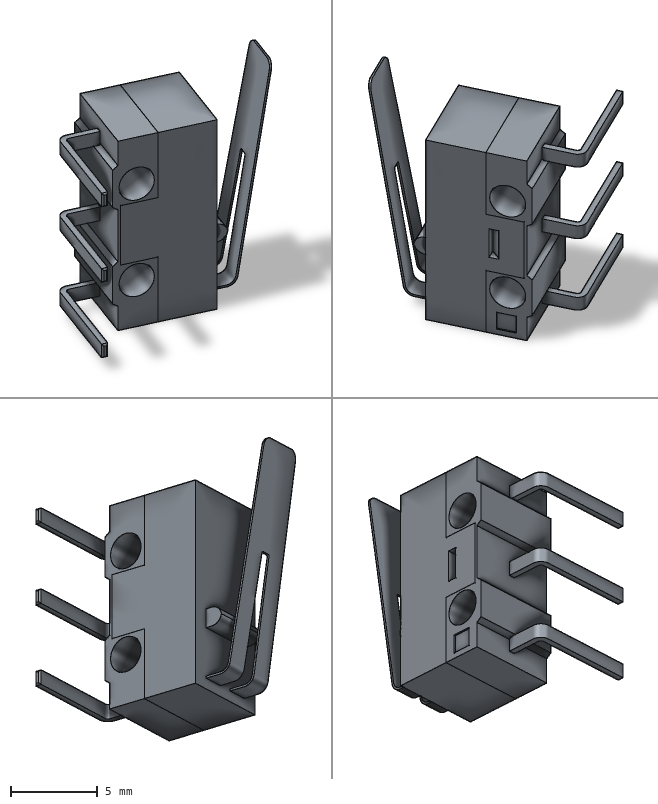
import cadquery as cq
import math


HOUSING_WIDTH = 5.72
HOUSING_DEPTH = 6.2
HOUSING_HEIGHT = 12.81
HALF_WIDTH = HOUSING_WIDTH / 2
MID_HEIGHT = HOUSING_HEIGHT / 2
SPLIT_Y = 2.51

TONGUE_HEIGHT = 4.02
TONGUE_END_Y = 0.17

HOLE_DIAMETER = 2.2
HOLE_Y = 1.17
HOLE_SPACING = 6.52
HOLE_HEIGHTS = [MID_HEIGHT - HOLE_SPACING / 2, MID_HEIGHT + HOLE_SPACING / 2]
PAD_RISE = 0.33
PAD_FOOT_HEIGHT = 3.01
PAD_TOP_HEIGHT = 2.51

LATCH_Y_MIN = 1.73
LATCH_Y_MAX = 2.3
LATCH_HEIGHT = 2.03
LATCH_SHALLOW_DEPTH = 0.08
LATCH_DEEP_DEPTH = LATCH_SHALLOW_DEPTH + LATCH_Y_MAX - LATCH_Y_MIN

MARK_SIZE = 1.2
MARK_DEPTH = 0.1
MARK_Y = 1.26
MARK_Z = 0.98

PIN_COUNT = 3
PIN_PITCH = 5.1
PIN_THICKNESS = 0.39
PIN_HEIGHT = 0.92
PIN_REACH_Y = 2.56
PIN_END_X = 6.64
PIN_OUTER_RADIUS = 0.6
PIN_INNER_RADIUS = PIN_OUTER_RADIUS - PIN_THICKNESS
PIN_TIP_CHAMFER = 0.1

BUTTON_WIDTH = 3.64
BUTTON_HEIGHT = 1.19
BUTTON_REACH = 1.1
BUTTON_SHOULDER = 0.4
BUTTON_Z = 4.45

LEVER_THICKNESS = 0.14
LEVER_TILT = math.radians(9.5)
LEVER_FOOT_Z = 0.68
LEVER_OUTER_RADIUS = 0.72
LEVER_INNER_RADIUS = LEVER_OUTER_RADIUS - LEVER_THICKNESS
LEVER_TIP_Y = 10.23
LEVER_TOP_Z = 15.05
LEVER_WIDTH = BUTTON_WIDTH
LEVER_TIP_WIDTH = 3.01
LEVER_TIP_RADIUS = 0.6
LEVER_TAPER_Z = 1.2
WINDOW_TOP_Z = 8.43
WINDOW_WIDTH = 0.96
WINDOW_TOP_WIDTH = 0.66
WINDOW_RADIUS = 0.1


def box(x_range, y_range, z_range):
    """Axis-aligned block given by its limits along each axis."""
    sizes = [high - low for low, high in (x_range, y_range, z_range)]
    corner = (x_range[0], y_range[0], z_range[0])
    return cq.Workplane("XY").box(*sizes, centered=False).translate(corner)


def around(middle, size):
    """Limits of a length centred on a place."""
    return (middle - size / 2, middle + size / 2)


def across_x(points, width):
    """Outline of (y, z) points extruded across X, centred on X = 0."""
    return cq.Workplane("YZ").polyline(points).close().extrude(width / 2, both=True)


def tongue_block():
    return box(
        around(0, HOUSING_WIDTH),
        (TONGUE_END_Y, SPLIT_Y),
        around(MID_HEIGHT, TONGUE_HEIGHT),
    )


def mounting_pad(z):
    """Raised pad with sloping ends on the pin face, at the height of a mounting hole."""
    foot_low, foot_high = around(z, PAD_FOOT_HEIGHT)
    top_low, top_high = around(z, PAD_TOP_HEIGHT)
    outline = [(0, foot_low), (-PAD_RISE, top_low), (-PAD_RISE, top_high), (0, foot_high)]
    return across_x(outline, HOUSING_WIDTH)


def mounting_hole(z):
    return (
        cq.Workplane("YZ")
        .center(HOLE_Y, z)
        .circle(HOLE_DIAMETER / 2)
        .extrude(HOUSING_WIDTH / 2, both=True)
    )


def make_base(pins):
    base = box(around(0, HOUSING_WIDTH), (0, SPLIT_Y), (0, HOUSING_HEIGHT))
    for z in HOLE_HEIGHTS:
        base = base.union(mounting_pad(z))
    for z in HOLE_HEIGHTS:
        base = base.cut(mounting_hole(z))
    base = base.cut(tongue_block())
    mark = box(
        (-HALF_WIDTH, -HALF_WIDTH + MARK_DEPTH),
        around(MARK_Y, MARK_SIZE),
        around(MARK_Z, MARK_SIZE),
    )
    base = base.cut(mark)
    for pin in pins:
        base = base.cut(pin)
    return base


def make_cover():
    cover = box(
        around(0, HOUSING_WIDTH), (SPLIT_Y, HOUSING_DEPTH), (0, HOUSING_HEIGHT)
    ).union(tongue_block())
    latch_pocket = (
        cq.Workplane("XY")
        .workplane(offset=MID_HEIGHT - LATCH_HEIGHT / 2)
        .polyline([
            (-HALF_WIDTH, LATCH_Y_MIN),
            (-HALF_WIDTH + LATCH_SHALLOW_DEPTH, LATCH_Y_MIN),
            (-HALF_WIDTH + LATCH_DEEP_DEPTH, LATCH_Y_MAX),
            (-HALF_WIDTH, LATCH_Y_MAX),
        ])
        .close()
        .extrude(LATCH_HEIGHT)
    )
    return cover.cut(latch_pocket)


def make_pin(z):
    """Flat pin that leaves the housing along -Y and bends towards +X."""
    left = -PIN_THICKNESS / 2
    right = PIN_THICKNESS / 2
    outer_y = -PIN_REACH_Y
    inner_y = outer_y + PIN_THICKNESS
    pin = (
        cq.Workplane("XY")
        .workplane(offset=z - PIN_HEIGHT / 2)
        .moveTo(left, 0)
        .lineTo(left, outer_y + PIN_OUTER_RADIUS)
        .radiusArc((left + PIN_OUTER_RADIUS, outer_y), -PIN_OUTER_RADIUS)
        .lineTo(PIN_END_X, outer_y)
        .lineTo(PIN_END_X, inner_y)
        .lineTo(right + PIN_INNER_RADIUS, inner_y)
        .radiusArc((right, inner_y + PIN_INNER_RADIUS), PIN_INNER_RADIUS)
        .lineTo(right, 0)
        .close()
        .extrude(PIN_HEIGHT)
    )
    return pin.faces(">X").edges().chamfer(PIN_TIP_CHAMFER)


def make_button():
    """Button with straight sides and two arcs, tangent to the sides, that meet at the nose."""
    half_height = BUTTON_HEIGHT / 2
    arc_length = BUTTON_REACH - BUTTON_SHOULDER
    arc_radius = (arc_length**2 + half_height**2) / (2 * half_height)
    nose = (HOUSING_DEPTH + BUTTON_REACH, BUTTON_Z)
    shoulder_y = HOUSING_DEPTH + BUTTON_SHOULDER
    low, high = around(BUTTON_Z, BUTTON_HEIGHT)
    return (
        cq.Workplane("YZ")
        .moveTo(HOUSING_DEPTH, low)
        .lineTo(shoulder_y, low)
        .radiusArc(nose, -arc_radius)
        .radiusArc((shoulder_y, high), -arc_radius)
        .lineTo(HOUSING_DEPTH, high)
        .close()
        .extrude(BUTTON_WIDTH / 2, both=True)
    )


def lever_sheet():
    """Bent sheet of full width, before its outline is trimmed."""
    outer_tip = (LEVER_TIP_Y, LEVER_TOP_Z - LEVER_THICKNESS * math.sin(LEVER_TILT))
    inner_tip = (LEVER_TIP_Y - LEVER_THICKNESS * math.cos(LEVER_TILT), LEVER_TOP_Z)

    def down_the_blade(tip, z):
        return (tip[0] - (tip[1] - z) * math.tan(LEVER_TILT), z)

    foot_top_z = LEVER_FOOT_Z + LEVER_THICKNESS
    outer_corner = down_the_blade(outer_tip, LEVER_FOOT_Z)
    inner_corner = down_the_blade(inner_tip, foot_top_z)
    sheet = across_x(
        [
            (HOUSING_DEPTH, LEVER_FOOT_Z),
            outer_corner,
            outer_tip,
            inner_tip,
            inner_corner,
            (HOUSING_DEPTH, foot_top_z),
        ],
        LEVER_WIDTH,
    )
    bends = [(outer_corner, LEVER_OUTER_RADIUS), (inner_corner, LEVER_INNER_RADIUS)]
    for corner, radius in bends:
        bend_edge = cq.selectors.NearestToPointSelector((0, *corner))
        sheet = sheet.edges(bend_edge).fillet(radius)
    return sheet


def tapered_prism(bottom_width, top_width, top_z, top_radius):
    """Block along Y, straight up to the taper height, then narrowing to a rounded top."""
    outline = [
        (-bottom_width / 2, 0),
        (bottom_width / 2, 0),
        (bottom_width / 2, LEVER_TAPER_Z),
        (top_width / 2, top_z),
        (-top_width / 2, top_z),
        (-bottom_width / 2, LEVER_TAPER_Z),
    ]
    prism = cq.Workplane("XZ").polyline(outline).close().extrude(-LEVER_TIP_Y)
    return prism.faces(">Z").edges("|Y").fillet(top_radius)


def make_lever():
    outline = tapered_prism(LEVER_WIDTH, LEVER_TIP_WIDTH, LEVER_TOP_Z, LEVER_TIP_RADIUS)
    window = tapered_prism(WINDOW_WIDTH, WINDOW_TOP_WIDTH, WINDOW_TOP_Z, WINDOW_RADIUS)
    return lever_sheet().intersect(outline).cut(window)


pins = [make_pin(MID_HEIGHT + (i - (PIN_COUNT - 1) / 2) * PIN_PITCH) for i in range(PIN_COUNT)]
base = make_base(pins)
cover = make_cover()
button = make_button()
lever = make_lever()

result = cq.Compound.makeCompound([
    base.val(),
    cover.val(),
    button.val(),
    lever.val(),
    *[pin.val() for pin in pins],
])